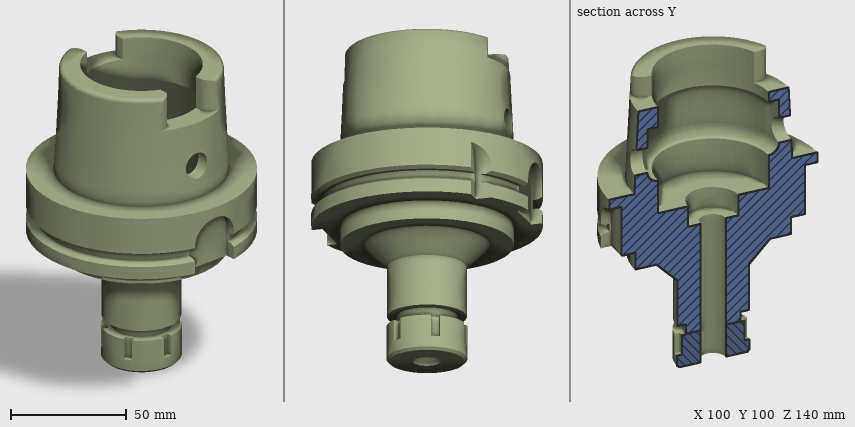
import cadquery as cq
import math

SHANK_LENGTH = 50.0
SHANK_BASE_RADIUS = 38.0
TAPER_PER_SIDE = 1 / 20
SHANK_TOP_RADIUS = SHANK_BASE_RADIUS - SHANK_LENGTH * TAPER_PER_SIDE
SHANK_RIM_FILLET = 2.0

BORE_RADIUS = 26.5
BORE_BOTTOM_Z = 30.0
CHAMBER_RADIUS = 31.5
COVE_TOP_Z = 9.0
WELL_RADIUS = BORE_RADIUS
WELL_FLOOR_Z = -12.0
RECESS_RADIUS = 12.0
RECESS_DEPTH = 10.0
THROUGH_HOLE_RADIUS = 6.0

CROSS_HOLE_RADIUS = 6.0
CROSS_HOLE_Z = 15.0

DRIVE_SLOT_HALF_WIDTH = 10.0
DRIVE_SLOT_CORNER_RADIUS = 5.0
LUG_END_X = 32.2
LEFT_DRIVE_SLOT_FLOOR_Z = 40.0
RIGHT_DRIVE_SLOT_FLOOR_Z = 35.0

FLANGE_RADIUS = 50.0
FLANGE_BOTTOM_Z = -29.0
GROOVE_CENTER_Z = -20.0
GROOVE_ROOT_RADIUS = 46.0
GROOVE_ROOT_WIDTH = 4.0
GROOVE_BEVEL_DEPTH = 2.0
GROOVE_BEVEL_HEIGHT = GROOVE_BEVEL_DEPTH * math.tan(math.radians(30))

LEFT_KEYWAY_RADIUS = 10.0
RIGHT_KEYWAY_RADIUS = 11.0
NOTCH_RADIUS = 10.0
KEYWAY_TOP_Z = -5.0
KEYWAY_FLOOR_X = 44.0
NOTCH_FLOOR_X = 32.0
NOTCH_WALL_Y = 31.2

COLLAR_RADIUS = 37.5
COLLAR_BOTTOM_Z = -37.2
STEM_RADIUS = 17.25
STEM_TOP_Z = -47.2
CONE_TOP_RADIUS = STEM_RADIUS + COLLAR_BOTTOM_Z - STEM_TOP_Z
STEM_BOTTOM_Z = -69.7
NECK_RADIUS = 13.3

NUT_RADIUS = 17.5
NUT_TOP_Z = -74.4
NUT_BOTTOM_Z = -90.0
NUT_CHAMFER = 1.2
NUT_SLOT_COUNT = 6
NUT_SLOT_WIDTH = 4.0
NUT_SLOT_LENGTH = 9.5
NUT_SLOT_FLOOR_RADIUS = 15.0


def cylinder(radius, bottom_z, top_z):
    """Cylinder on the Z axis between two heights."""
    return cq.Workplane("XY").workplane(offset=bottom_z).circle(radius).extrude(top_z - bottom_z)


def holder_blank():
    """Turned outside shape of the holder, before any holes and slots."""
    bevel_radius = FLANGE_RADIUS - GROOVE_BEVEL_DEPTH
    root_top_z = GROOVE_CENTER_Z + GROOVE_ROOT_WIDTH / 2
    root_bottom_z = GROOVE_CENTER_Z - GROOVE_ROOT_WIDTH / 2
    outline = [
        (0, SHANK_LENGTH),
        (SHANK_TOP_RADIUS, SHANK_LENGTH),
        (SHANK_BASE_RADIUS, 0),
        (FLANGE_RADIUS, 0),
        (FLANGE_RADIUS, root_top_z + GROOVE_BEVEL_HEIGHT),
        (bevel_radius, root_top_z),
        (GROOVE_ROOT_RADIUS, root_top_z),
        (GROOVE_ROOT_RADIUS, root_bottom_z),
        (bevel_radius, root_bottom_z),
        (FLANGE_RADIUS, root_bottom_z - GROOVE_BEVEL_HEIGHT),
        (FLANGE_RADIUS, FLANGE_BOTTOM_Z),
        (COLLAR_RADIUS, FLANGE_BOTTOM_Z),
        (COLLAR_RADIUS, COLLAR_BOTTOM_Z),
        (CONE_TOP_RADIUS, COLLAR_BOTTOM_Z),
        (STEM_RADIUS, STEM_TOP_Z),
        (STEM_RADIUS, STEM_BOTTOM_Z),
        (NECK_RADIUS, STEM_BOTTOM_Z),
        (NECK_RADIUS, NUT_TOP_Z),
        (0, NUT_TOP_Z),
    ]
    blank = cq.Workplane("XZ").polyline(outline).close().revolve(360, (0, 0, 0), (0, 1, 0))
    return blank.faces(">Z").edges().fillet(SHANK_RIM_FILLET)


def stepped_bore():
    """Bore, wider chamber with a coved lower end, well, recess and through hole, as one cutting solid."""
    cove_radius = CHAMBER_RADIUS - WELL_RADIUS
    cove_mid_radius = WELL_RADIUS + cove_radius * math.sqrt(0.5)
    cove_mid_z = COVE_TOP_Z - cove_radius * math.sqrt(0.5)
    recess_floor_z = WELL_FLOOR_Z - RECESS_DEPTH
    return (
        cq.Workplane("XZ")
        .moveTo(0, SHANK_LENGTH)
        .lineTo(BORE_RADIUS, SHANK_LENGTH)
        .lineTo(BORE_RADIUS, BORE_BOTTOM_Z)
        .lineTo(CHAMBER_RADIUS, BORE_BOTTOM_Z)
        .lineTo(CHAMBER_RADIUS, COVE_TOP_Z)
        .threePointArc((cove_mid_radius, cove_mid_z), (WELL_RADIUS, COVE_TOP_Z - cove_radius))
        .lineTo(WELL_RADIUS, WELL_FLOOR_Z)
        .lineTo(RECESS_RADIUS, WELL_FLOOR_Z)
        .lineTo(RECESS_RADIUS, recess_floor_z)
        .lineTo(THROUGH_HOLE_RADIUS, recess_floor_z)
        .lineTo(THROUGH_HOLE_RADIUS, NUT_TOP_Z)
        .lineTo(0, NUT_TOP_Z)
        .close()
        .revolve(360, (0, 0, 0), (0, 1, 0))
    )


def cross_hole():
    """Radial hole through both shank walls."""
    half_length = SHANK_BASE_RADIUS
    return (
        cq.Workplane("YZ")
        .workplane(offset=-half_length)
        .center(0, CROSS_HOLE_Z)
        .circle(CROSS_HOLE_RADIUS)
        .extrude(2 * half_length)
    )


def drive_slot(side, floor_z):
    """Rim slot on the +X (side=1) or -X (side=-1) wall that rounds off the ends of the lugs."""
    corner = DRIVE_SLOT_CORNER_RADIUS
    arc_center_x = LUG_END_X - corner
    arc_center_y = DRIVE_SLOT_HALF_WIDTH + corner
    arc_mid_x = arc_center_x + corner * math.sqrt(0.5)
    arc_mid_y = arc_center_y - corner * math.sqrt(0.5)
    mouth_x = SHANK_BASE_RADIUS
    mouth_y = math.sqrt(SHANK_BASE_RADIUS**2 - LUG_END_X**2)
    return (
        cq.Workplane("XY")
        .workplane(offset=floor_z)
        .moveTo(0, -DRIVE_SLOT_HALF_WIDTH)
        .lineTo(side * arc_center_x, -DRIVE_SLOT_HALF_WIDTH)
        .threePointArc((side * arc_mid_x, -arc_mid_y), (side * LUG_END_X, -arc_center_y))
        .lineTo(side * LUG_END_X, -mouth_y)
        .lineTo(side * mouth_x, -mouth_y)
        .lineTo(side * mouth_x, mouth_y)
        .lineTo(side * LUG_END_X, mouth_y)
        .lineTo(side * LUG_END_X, arc_center_y)
        .threePointArc((side * arc_mid_x, arc_mid_y), (side * arc_center_x, DRIVE_SLOT_HALF_WIDTH))
        .lineTo(0, DRIVE_SLOT_HALF_WIDTH)
        .close()
        .extrude(SHANK_LENGTH - floor_z)
    )


def flange_keyway(side, radius, floor_x, center_y):
    """Round-topped keyway cut into the flange from the +X or -X side."""
    arc_center_z = KEYWAY_TOP_Z - radius
    return (
        cq.Workplane("YZ")
        .workplane(offset=side * floor_x)
        .moveTo(center_y - radius, FLANGE_BOTTOM_Z)
        .lineTo(center_y - radius, arc_center_z)
        .threePointArc((center_y, KEYWAY_TOP_Z), (center_y + radius, arc_center_z))
        .lineTo(center_y + radius, FLANGE_BOTTOM_Z)
        .close()
        .extrude(side * (FLANGE_RADIUS - floor_x))
    )


def make_holder():
    """Tool holder: taper shank, flange, collar, stem and neck."""
    body = holder_blank().cut(stepped_bore()).cut(cross_hole())
    body = body.cut(drive_slot(-1, LEFT_DRIVE_SLOT_FLOOR_Z))
    body = body.cut(drive_slot(1, RIGHT_DRIVE_SLOT_FLOOR_Z))
    body = body.cut(flange_keyway(-1, LEFT_KEYWAY_RADIUS, KEYWAY_FLOOR_X, 0))
    body = body.cut(flange_keyway(1, RIGHT_KEYWAY_RADIUS, KEYWAY_FLOOR_X, 0))
    return body.cut(flange_keyway(-1, NOTCH_RADIUS, NOTCH_FLOOR_X, NOTCH_WALL_Y + NOTCH_RADIUS))


def make_collet_nut():
    """Collet nut: chamfered ring with spanner slots, seated on the end of the neck."""
    nut = cylinder(NUT_RADIUS, NUT_BOTTOM_Z, NUT_TOP_Z).faces("<Z").edges().chamfer(NUT_CHAMFER)
    nut = nut.cut(cylinder(THROUGH_HOLE_RADIUS, NUT_BOTTOM_Z, NUT_TOP_Z))
    slot = cq.Workplane("XY").box(
        NUT_RADIUS - NUT_SLOT_FLOOR_RADIUS, NUT_SLOT_WIDTH, NUT_SLOT_LENGTH, centered=(False, True, False)
    )
    slot = slot.translate((NUT_SLOT_FLOOR_RADIUS, 0, NUT_TOP_Z - NUT_SLOT_LENGTH))
    for index in range(NUT_SLOT_COUNT):
        nut = nut.cut(slot.rotate((0, 0, 0), (0, 0, 1), index * 360 / NUT_SLOT_COUNT))
    return nut


holder = make_holder()
collet_nut = make_collet_nut()
result = cq.Compound.makeCompound([holder.val(), collet_nut.val()])